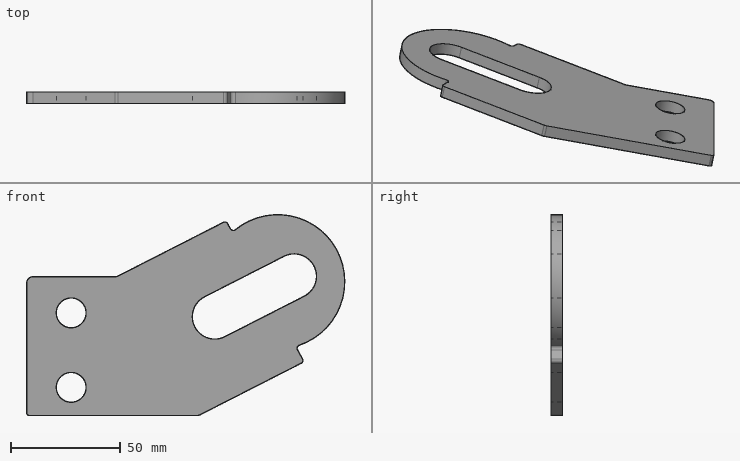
import cadquery as cq
import math

length = 145.7
height = 92.0
thickness = 5.4

base_height = 63.7
lower_bend_x = 78.7
upper_bend_x = 41.2
hole_diameter = 13.5
hole_x = 20.4
hole_heights = (13.0, 47.0)

arm_angle = 27.0
upper_arm_length = 56.2
lower_arm_length = 54.3
head_radius = 30.7
head_x = length - head_radius
head_z = height - head_radius

slot_radius = 10.2
slot_center_distance = 40.8
slot_start = (86.1, 45.3)

top_corner_radius = 2.9
bottom_corner_radius = 1.3
bend_radius = 2.9
shoulder_radius = 1.5


def along_arm(start, distance):
    """Point reached from start by moving up the inclined arm."""
    angle = math.radians(arm_angle)
    return (start[0] + distance * math.cos(angle), start[1] + distance * math.sin(angle))


def plate(sketch):
    """Extrude an XZ outline from the front face at Y = 0 to the back."""
    return sketch.extrude(-thickness)


def round_corners(body, points, radius):
    """Round the edges through the thickness at the given outline points."""
    for x, z in points:
        corner = cq.selectors.NearestToPointSelector((x, thickness / 2, z))
        body = body.edges("|Y").edges(corner).fillet(radius)
    return body


def shoulder_root(outer, opposite):
    """Where the shoulder line, followed inward from outer, meets the head."""
    span = math.dist(outer, opposite)
    ux = (opposite[0] - outer[0]) / span
    uz = (opposite[1] - outer[1]) / span
    to_head_x = head_x - outer[0]
    to_head_z = head_z - outer[1]
    to_chord_middle = to_head_x * ux + to_head_z * uz
    offset = to_head_x * uz - to_head_z * ux
    depth = to_chord_middle - math.sqrt(head_radius**2 - offset**2)
    return (outer[0] + depth * ux, outer[1] + depth * uz)


bottom_corner = (0, 0)
top_corner = (0, base_height)
lower_bend = (lower_bend_x, 0)
upper_bend = (upper_bend_x, base_height)
lower_shoulder = along_arm(lower_bend, lower_arm_length)
upper_shoulder = along_arm(upper_bend, upper_arm_length)

arm_outline = [bottom_corner, lower_bend, lower_shoulder, upper_shoulder, upper_bend, top_corner]
arm = plate(cq.Workplane("XZ").polyline(arm_outline).close())
head = plate(cq.Workplane("XZ").center(head_x, head_z).circle(head_radius))
result = arm.union(head)

shoulder_corners = [
    lower_shoulder,
    upper_shoulder,
    shoulder_root(lower_shoulder, upper_shoulder),
    shoulder_root(upper_shoulder, lower_shoulder),
]
result = round_corners(result, shoulder_corners, shoulder_radius)
result = round_corners(result, [lower_bend, upper_bend], bend_radius)
result = round_corners(result, [top_corner], top_corner_radius)
result = round_corners(result, [bottom_corner], bottom_corner_radius)

hole_centers = [(hole_x, z) for z in hole_heights]
result = result.cut(plate(cq.Workplane("XZ").pushPoints(hole_centers).circle(hole_diameter / 2)))

slot_middle = along_arm(slot_start, slot_center_distance / 2)
slot_length = slot_center_distance + 2 * slot_radius
slot = cq.Workplane("XZ").center(*slot_middle).slot2D(slot_length, 2 * slot_radius, arm_angle)
result = result.cut(plate(slot))